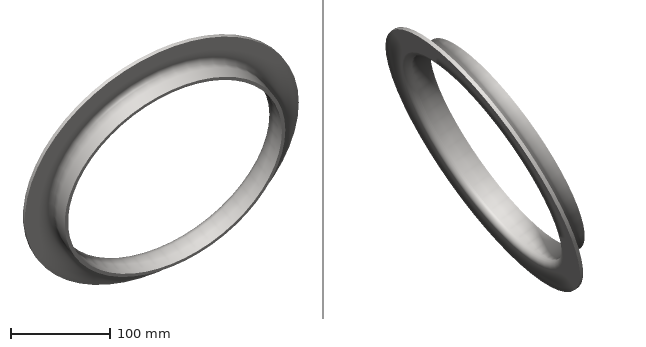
import cadquery as cq

flange_diameter = 320.0
sleeve_diameter = 258.0
bore_diameter = 250.0
total_depth = 30.0
wall = (sleeve_diameter - bore_diameter) / 2
mouth_radius = 7.0
root_radius = 5.0

smallest_circle = cq.selectors.RadiusNthSelector(0)


def disc(diameter, depth):
    """Solid disc with its front face at X = 0, reaching toward +X."""
    return cq.Workplane("YZ").circle(diameter / 2).extrude(depth)


body = disc(flange_diameter, wall).union(disc(sleeve_diameter, total_depth))

sleeve_circles = body.edges("%CIRCLE").edges(smallest_circle)
body = sleeve_circles.edges("<X").fillet(root_radius)

body = body.cut(disc(bore_diameter, total_depth))
result = body.faces("<X").edges(smallest_circle).fillet(mouth_radius)